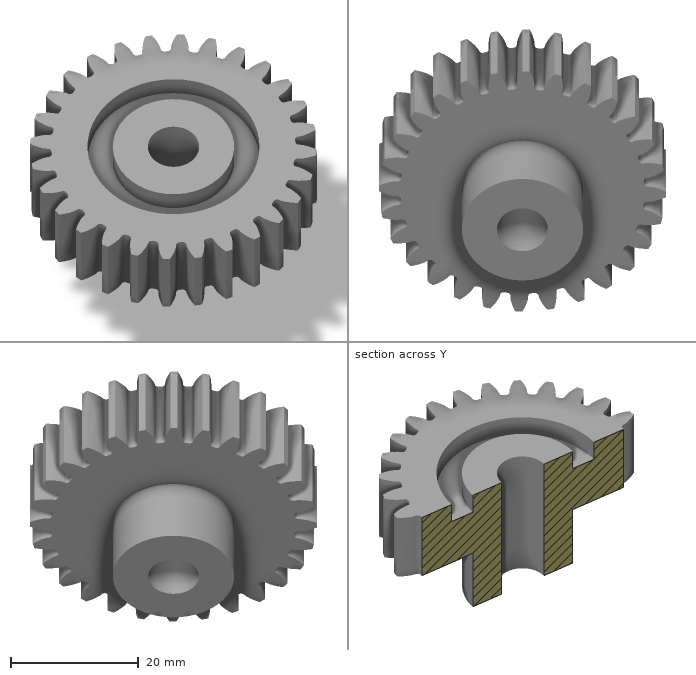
import cadquery as cq
import math

tooth_count = 28
pitch_diameter = 42.0
pressure_angle = math.radians(20)
face_width = 12.0
hub_length = 11.0
hub_diameter = 19.0
bore_diameter = 8.02
recess_diameter = 27.0
recess_depth = 3.5

dedendum_factor = 1.25
root_fillet_factor = 0.38

module = pitch_diameter / tooth_count
pitch_radius = pitch_diameter / 2
base_radius = pitch_radius * math.cos(pressure_angle)
tip_radius = pitch_radius + module
root_radius = pitch_radius - dedendum_factor * module
root_fillet = root_fillet_factor * module
flank_points = 7


def polar(radius, angle):
    return (radius * math.cos(angle), radius * math.sin(angle))


def involute_angle(radius):
    """Angle swept by the involute between the base circle and the given radius."""
    roll = math.sqrt((radius / base_radius) ** 2 - 1)
    return roll - math.atan(roll)


half_tooth_at_base = math.pi / (2 * tooth_count) + involute_angle(pitch_radius)


def gap_flank(side):
    """Tooth flank from the base circle to the tip, on one side of a gap centred on +X."""
    points = []
    for i in range(flank_points):
        radius = base_radius + (tip_radius - base_radius) * i / (flank_points - 1)
        half_tooth = half_tooth_at_base - involute_angle(radius)
        points.append(polar(radius, side * (math.pi / tooth_count - half_tooth)))
    return points


def tooth_gap():
    """Space between two teeth; the flanks run radially below the base circle to rounded corners."""
    half_gap_at_base = math.pi / tooth_count - half_tooth_at_base
    lower = gap_flank(-1)
    upper = gap_flank(1)
    outside = tip_radius + module
    gap = (
        cq.Workplane("XY")
        .moveTo(*polar(root_radius, -half_gap_at_base))
        .lineTo(*lower[0])
        .spline(lower[1:], includeCurrent=True)
        .lineTo(outside, lower[-1][1])
        .lineTo(outside, upper[-1][1])
        .lineTo(*upper[-1])
        .spline(upper[-2::-1], includeCurrent=True)
        .lineTo(*polar(root_radius, half_gap_at_base))
        .threePointArc((root_radius, 0), polar(root_radius, -half_gap_at_base))
        .close()
        .extrude(face_width)
    )
    split_radius = (root_radius + base_radius) / 2
    root_corners = cq.selectors.BoxSelector(
        (0, -module, 0),
        (split_radius, module, face_width),
    )
    return gap.edges("|Z").edges(root_corners).fillet(root_fillet)


def toothed_wheel():
    wheel = cq.Workplane("XY").circle(tip_radius).extrude(face_width)
    gap = tooth_gap()
    tooth_pitch = 360 / tooth_count
    for i in range(tooth_count):
        wheel = wheel.cut(gap.rotate((0, 0, 0), (0, 0, 1), i * tooth_pitch))
    return wheel


def ring_recess():
    return (
        cq.Workplane("XY", origin=(0, 0, face_width - recess_depth))
        .circle(recess_diameter / 2)
        .circle(hub_diameter / 2)
        .extrude(recess_depth)
    )


hub = cq.Workplane("XY").circle(hub_diameter / 2).extrude(-hub_length)
bore = (
    cq.Workplane("XY", origin=(0, 0, -hub_length))
    .circle(bore_diameter / 2)
    .extrude(hub_length + face_width)
)

result = toothed_wheel().cut(ring_recess()).union(hub).cut(bore)